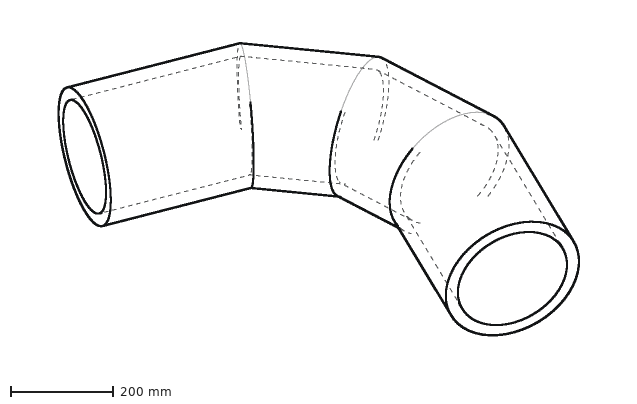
import cadquery as cq
import math

outer_diameter = 280.0
bore_diameter = 229.2
bend_angle = 90.0
joint_count = 3
segment_length = 225.0
leg_length = 337.5

turn_per_joint = bend_angle / joint_count


def centreline_points():
    """Centreline corners in the XY plane, starting along +Y and turning towards +X."""
    inner_lengths = [segment_length] * (joint_count - 1)
    lengths = [leg_length] + inner_lengths + [leg_length]
    x, y = 0.0, 0.0
    points = [(x, y)]
    for index, length in enumerate(lengths):
        turned = math.radians(index * turn_per_joint)
        x += length * math.sin(turned)
        y += length * math.cos(turned)
        points.append((x, y))
    return points


def mitred_rod(diameter):
    """Solid round bar that follows the centreline with sharp mitre joints."""
    path = cq.Workplane("XY").polyline(centreline_points())
    profile = cq.Workplane("XZ").circle(diameter / 2)
    return profile.sweep(path, transition="right")


result = mitred_rod(outer_diameter).cut(mitred_rod(bore_diameter))